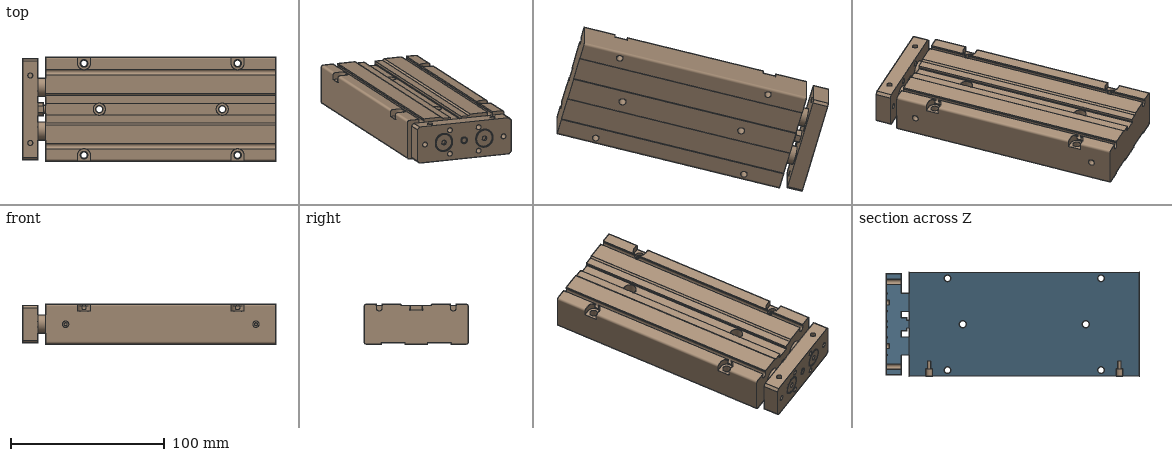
import cadquery as cq
import math

TOTAL_LENGTH = 165.0
WIDTH = 68.0
HEIGHT = 26.0

PLATE_THICKNESS = 10.0
PLATE_WIDTH = 66.0
PLATE_HEIGHT = 24.5
PLATE_CHAMFER = 1.6
FACE_HOLE_DIA = 3.3
CORNER_HOLE_Y = 10.0
CORNER_HOLE_Z = 8.0
SIDE_HOLE_Y = 27.5
TOP_HOLE_DIA = 3.3
TOP_HOLE_Y = 22.0
TOP_HOLE_DEPTH = 6.6

ROD_GAP = 5.0
GUIDE_ROD_DIA = 12.0
GUIDE_ROD_Y = 14.2
GUIDE_HOLE_DIA = 3.1
GUIDE_HOLE_DEPTH = 2.0
PISTON_ROD_DIA = 5.5
PISTON_TIP_DIA = 4.5
NUT_ACROSS_FLATS = 7.6
NUT_THICKNESS = 3.5
SEAM_WIDTH = 0.5
SEAM_DEPTH = 0.8

HOUSING_FILLET = 1.57
RECESS_DEPTH = 1.0
RECESS_TOP_WIDTH = 20.5
RECESS_FLOOR_WIDTH = 18.2
CHANNEL_WIDTH = 7.6
CHANNEL_DEPTH = 2.0
UNDERCUT_WIDTH = 8.9
UNDERCUT_HEIGHT = 0.8
SENSOR_GROOVE_Y = 24.1
SENSOR_MOUTH_WIDTH = 3.3
SENSOR_MOUTH_DEPTH = 1.2
SENSOR_GROOVE_WIDTH = 3.6
SENSOR_WALL_DEPTH = 2.6
BASE_RELIEF_INNER_Y = 7.5
BASE_RELIEF_OUTER_Y = 22.8
BASE_RELIEF_DEPTH = 1.0

CORNER_MOUNT_SPACING = 100.0
CORNER_MOUNT_Y = 29.9
CORNER_MOUNT_DIA = 4.1
CORNER_BORE_DIA = 5.0
CORNER_BORE_DEPTH = 9.9
CORNER_SLOT_WIDTH = 8.4
CORNER_SLOT_DEPTH = 4.5
CENTER_MOUNT_SPACING = 80.0
CENTER_MOUNT_DIA = 4.5
CENTER_BORE_DIA = 8.0
CENTER_BORE_DEPTH = 11.5
PORT_INSET = 13.0
PORT_DIA = 4.1
PORT_DEPTH = 5.0
PORT_PASSAGE_DIA = 2.0
PORT_PASSAGE_DEPTH = 9.9

HOUSING_X = PLATE_THICKNESS + ROD_GAP
HOUSING_LENGTH = TOTAL_LENGTH - HOUSING_X
HOUSING_MID_X = HOUSING_X + HOUSING_LENGTH / 2
TOP_Z = HEIGHT / 2
RECESS_Z = TOP_Z - RECESS_DEPTH
SIDES = (-1, 1)


def rod_x(dia, x, length, y=0.0, z=0.0):
    """Cylinder along +X starting at x."""
    return cq.Workplane("YZ", origin=(x, y, z)).circle(dia / 2).extrude(length)


def drill_down(dia, depth, x, y, z):
    """Cylinder going down from height z, used as a hole."""
    return cq.Workplane("XY", origin=(x, y, z)).circle(dia / 2).extrude(-depth)


def bar_x(width, z_low, z_high, y=0.0):
    """Rectangular bar running the full length of the housing."""
    return (
        cq.Workplane("YZ", origin=(HOUSING_X, y, (z_low + z_high) / 2))
        .rect(width, z_high - z_low)
        .extrude(HOUSING_LENGTH)
    )


def seam_ring(outer_dia, y):
    """Shallow ring groove in the front face, marking a rod end in the plate."""
    return (
        cq.Workplane("YZ", origin=(0, y, 0))
        .circle(outer_dia / 2)
        .circle(outer_dia / 2 - SEAM_WIDTH)
        .extrude(SEAM_DEPTH)
    )


def make_end_plate():
    """End plate with the two guide rods, the piston rod and its nut."""
    body = (
        cq.Workplane("YZ")
        .rect(PLATE_WIDTH, PLATE_HEIGHT)
        .extrude(PLATE_THICKNESS)
        .edges("|X")
        .chamfer(PLATE_CHAMFER)
    )

    face_holes = [(y * CORNER_HOLE_Y, z * CORNER_HOLE_Z) for y in SIDES for z in SIDES]
    face_holes += [(y * SIDE_HOLE_Y, 0) for y in SIDES]
    for y, z in face_holes:
        body = body.cut(rod_x(FACE_HOLE_DIA, 0, PLATE_THICKNESS, y, z))

    for side in SIDES:
        guide_y = side * GUIDE_ROD_Y
        body = body.union(rod_x(GUIDE_ROD_DIA, PLATE_THICKNESS, ROD_GAP, guide_y))
        body = body.cut(seam_ring(GUIDE_ROD_DIA, guide_y))
        body = body.cut(rod_x(GUIDE_HOLE_DIA, 0, GUIDE_HOLE_DEPTH, guide_y))
        top_hole = drill_down(
            TOP_HOLE_DIA, TOP_HOLE_DEPTH, PLATE_THICKNESS / 2, side * TOP_HOLE_Y, PLATE_HEIGHT / 2
        )
        body = body.cut(top_hole)

    nut = (
        cq.Workplane("YZ", origin=(PLATE_THICKNESS, 0, 0))
        .polygon(6, NUT_ACROSS_FLATS / math.cos(math.pi / 6))
        .extrude(NUT_THICKNESS)
    )
    body = body.union(nut)
    body = body.union(rod_x(PISTON_ROD_DIA, PLATE_THICKNESS, ROD_GAP))
    return body.cut(seam_ring(PISTON_TIP_DIA, 0))


def cut_center_channel(body):
    """Wide shallow recess with sloped walls, and an undercut channel in its floor."""
    recess = (
        cq.Workplane("YZ", origin=(HOUSING_X, 0, 0))
        .polyline([
            (-RECESS_TOP_WIDTH / 2, TOP_Z),
            (-RECESS_FLOOR_WIDTH / 2, RECESS_Z),
            (RECESS_FLOOR_WIDTH / 2, RECESS_Z),
            (RECESS_TOP_WIDTH / 2, TOP_Z),
        ])
        .close()
        .extrude(HOUSING_LENGTH)
    )
    neck_z = RECESS_Z - CHANNEL_DEPTH
    neck = bar_x(CHANNEL_WIDTH, neck_z, RECESS_Z)
    undercut = bar_x(UNDERCUT_WIDTH, neck_z - UNDERCUT_HEIGHT, neck_z)
    return body.cut(recess).cut(neck).cut(undercut)


def cut_sensor_grooves(body):
    """Round-bottomed grooves, each open to the top through a narrower mouth."""
    mouth_z = TOP_Z - SENSOR_MOUTH_DEPTH
    round_z = TOP_Z - SENSOR_WALL_DEPTH
    for side in SIDES:
        y = side * SENSOR_GROOVE_Y
        body = body.cut(bar_x(SENSOR_MOUTH_WIDTH, mouth_z, TOP_Z, y))
        body = body.cut(bar_x(SENSOR_GROOVE_WIDTH, round_z, mouth_z, y))
        body = body.cut(rod_x(SENSOR_GROOVE_WIDTH, HOUSING_X, HOUSING_LENGTH, y, round_z))
    return body


def cut_base_reliefs(body):
    """Two wide shallow reliefs in the underside."""
    width = BASE_RELIEF_OUTER_Y - BASE_RELIEF_INNER_Y
    middle = (BASE_RELIEF_OUTER_Y + BASE_RELIEF_INNER_Y) / 2
    for side in SIDES:
        body = body.cut(bar_x(width, -TOP_Z, -TOP_Z + BASE_RELIEF_DEPTH, side * middle))
    return body


def cut_corner_mounts(body):
    """Stepped through holes in round-ended slots that open to the sides."""
    slot_reach = WIDTH / 2 - CORNER_MOUNT_Y
    for end in SIDES:
        x = HOUSING_MID_X + end * CORNER_MOUNT_SPACING / 2
        for side in SIDES:
            y = side * CORNER_MOUNT_Y
            slot_mouth = (
                cq.Workplane("XY", origin=(x, y + side * slot_reach / 2, TOP_Z))
                .rect(CORNER_SLOT_WIDTH, slot_reach)
                .extrude(-CORNER_SLOT_DEPTH)
            )
            body = body.cut(slot_mouth)
            body = body.cut(drill_down(CORNER_SLOT_WIDTH, CORNER_SLOT_DEPTH, x, y, TOP_Z))
            body = body.cut(drill_down(CORNER_BORE_DIA, CORNER_BORE_DEPTH, x, y, TOP_Z))
            body = body.cut(drill_down(CORNER_MOUNT_DIA, HEIGHT, x, y, TOP_Z))
    return body


def cut_center_mounts(body):
    """Counterbored through holes on the centre line."""
    for end in SIDES:
        x = HOUSING_MID_X + end * CENTER_MOUNT_SPACING / 2
        body = body.cut(drill_down(CENTER_BORE_DIA, CENTER_BORE_DEPTH, x, 0, TOP_Z))
        body = body.cut(drill_down(CENTER_MOUNT_DIA, HEIGHT, x, 0, TOP_Z))
    return body


def cut_ports(body):
    """Stepped ports in the -Y side, one near each end."""
    for end in SIDES:
        x = HOUSING_MID_X + end * (HOUSING_LENGTH / 2 - PORT_INSET)
        face = cq.Workplane("XZ", origin=(x, -WIDTH / 2, 0))
        body = body.cut(face.circle(PORT_DIA / 2).extrude(-PORT_DEPTH))
        body = body.cut(face.circle(PORT_PASSAGE_DIA / 2).extrude(-PORT_PASSAGE_DEPTH))
    return body


def make_housing():
    """Cylinder housing, an extruded profile along X."""
    body = bar_x(WIDTH, -TOP_Z, TOP_Z).edges("|X").fillet(HOUSING_FILLET)
    body = cut_center_channel(body)
    body = cut_sensor_grooves(body)
    body = cut_base_reliefs(body)
    body = cut_corner_mounts(body)
    body = cut_center_mounts(body)
    return cut_ports(body)


end_plate = make_end_plate()
housing = make_housing()

result = cq.Compound.makeCompound([end_plate.val(), housing.val()])